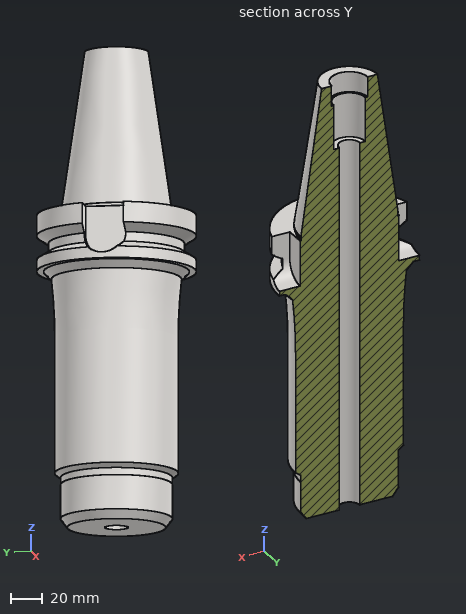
import cadquery as cq
import math

total_height = 302.5
nose_chamfer_top = 5.5
nose_relief_bottom = 27.2
nose_top = 31.8
body_bottom = 34.5
body_top = 120.0
neck_top = 158.0
lower_flange_bottom = 162.7
lower_flange_top = 170.0
groove_bottom = 174.5
groove_top = 180.5
upper_flange_bottom = 185.5
upper_flange_top = 198.5
taper_length = 102.0
taper_bottom = total_height - taper_length

nose_radius = 35.0
nose_relief_depth = 0.15
nose_relief_radius = nose_radius - nose_relief_depth
nose_face_radius = 30.8
body_radius = 38.7
neck_radius = 40.8
flange_diameter = 100.0
flange_radius = flange_diameter / 2
flange_underside_radius = neck_radius + lower_flange_bottom - neck_top
groove_radius = 42.5
taper_base_diameter = 70.0
taper_base_radius = taper_base_diameter / 2
taper_ratio = 7 / 24
taper_top_radius = taper_base_radius - taper_length * taper_ratio / 2
undercut_radius = 34.5

mouth_radius = 12.7
mouth_depth = 14.2
thread_radius = 11.2
thread_depth = 45.5
through_radius = 7.3

slot_width = 26.3
slot_depth = 32.0
slot_floor_radius = 35.5


def neck_arc_midpoint():
    """Midpoint of the concave neck arc, which leaves the body tangentially."""
    rise = neck_top - body_top
    flare = neck_radius - body_radius
    arc_radius = (rise**2 + flare**2) / (2 * flare)
    half_angle = math.asin(rise / arc_radius) / 2
    return (
        body_radius + arc_radius * (1 - math.cos(half_angle)),
        body_top + arc_radius * math.sin(half_angle),
    )


def make_body():
    """Revolve the outer half profile about Z."""
    profile = (
        cq.Workplane("XZ")
        .moveTo(0, 0)
        .lineTo(nose_face_radius, 0)
        .lineTo(nose_radius, nose_chamfer_top)
        .lineTo(nose_radius, nose_relief_bottom)
        .lineTo(nose_relief_radius, nose_relief_bottom)
        .lineTo(nose_relief_radius, nose_top)
        .lineTo(body_radius, body_bottom)
        .lineTo(body_radius, body_top)
        .threePointArc(neck_arc_midpoint(), (neck_radius, neck_top))
        .lineTo(flange_underside_radius, lower_flange_bottom)
        .lineTo(flange_radius, lower_flange_bottom)
        .lineTo(flange_radius, lower_flange_top)
        .lineTo(groove_radius, groove_bottom)
        .lineTo(groove_radius, groove_top)
        .lineTo(flange_radius, upper_flange_bottom)
        .lineTo(flange_radius, upper_flange_top)
        .lineTo(undercut_radius, upper_flange_top)
        .lineTo(undercut_radius, taper_bottom)
        .lineTo(taper_base_radius, taper_bottom)
        .lineTo(taper_top_radius, total_height)
        .lineTo(0, total_height)
        .close()
    )
    return profile.revolve(360, (0, 0, 0), (0, 1, 0))


def bore(radius, depth):
    """Cylinder reaching down from the top face."""
    return cq.Workplane("XY").workplane(offset=total_height - depth).circle(radius).extrude(depth)


def drive_slot(side):
    """Round-bottomed slot cutter on the +X (side = 1) or -X (side = -1) flank."""
    half_width = slot_width / 2
    slot_bottom = upper_flange_top - slot_depth
    arc_start = slot_bottom + half_width
    return (
        cq.Workplane("YZ", origin=(side * slot_floor_radius, 0, 0))
        .moveTo(-half_width, upper_flange_top)
        .lineTo(-half_width, arc_start)
        .threePointArc((0, slot_bottom), (half_width, arc_start))
        .lineTo(half_width, upper_flange_top)
        .close()
        .extrude(side * (flange_radius - slot_floor_radius))
    )


result = make_body()
for bore_radius, bore_depth in (
    (mouth_radius, mouth_depth),
    (thread_radius, thread_depth),
    (through_radius, total_height),
):
    result = result.cut(bore(bore_radius, bore_depth))
for flank in (-1, 1):
    result = result.cut(drive_slot(flank))